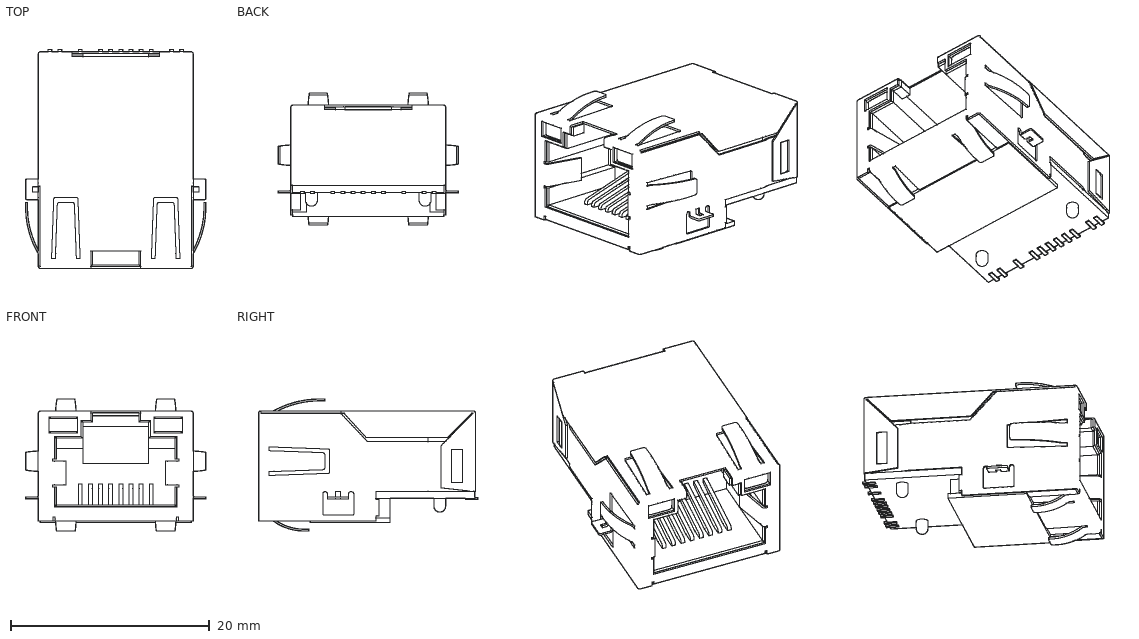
import cadquery as cq
import math


sheet = 0.2
half_width = 7.8
depth = 21.83
top_z = 8.9
bottom_z = -2.2
bend = 0.25
overlap = 0.3

inner_half = half_width - sheet
inner_top = top_z - sheet
inner_back = depth - sheet

lip = 0.18
cavity_half = 5.96
cavity_floor = -0.58
cavity_ceiling = 6.14
cavity_back = 9.4
key_half = 3.31
key_ceiling = 7.75
notch_half = 2.33
notch_depth = 1.8
lip_chamfer = 0.16

ground_tab_bottom = 1.44
ground_tab_top = 3.83
ground_relief = 0.2
ground_slot_half = 6.9
ground_tab_reach = 4.98
ground_tab_length = 3.9

led_x = 5.26
led_z = 7.46
led_width = 2.86
led_height = 1.6
led_recess = 0.3
led_length = 3.0

flap_bottom = 6.19
panel_top = 5.79
seam_z = 8.64
rear_floor = 0.8
rear_step = 11.79
joggle_start = 17.05
joggle_end = 18.1
tail_end = 20.9
latch_bottom = 1.68
latch_top = 5.03
latch_front = 19.43
latch_back = 20.5

flap_half = 6.1
flap_relief = 0.2
flap_relief_height = 0.44
flap_depth = 5.19
flap_bend = 0.3

spring_x = 5.02
spring_z = 3.83
spring_root = 1.49
spring_root_bend = 0.33
spring_root_half = 1.04
spring_taper = 0.036
spring_tip_flat = 0.5
slit_width = 0.38
slit_tip_gap = 0.48
slit_corner = 0.15
tongue_corner = 0.25
slit_start = 1.03

tab_half_span = 9.075
tab_front = 6.93
tab_back = 9.03
tab_bottom = 0.05
tab_bend = 0.13
tab_mid = (tab_front + tab_back) / 2
tab_slot_width = 0.5
tab_slot_end = 8.36
tab_slot_top = 0.78
window_front = 6.46
window_back = 9.59
window_bottom = -1.58
ear_top = 0.76

base_bottom = 0.1
base_back = 21.75
block_back = 13.23
block_bottom = -2.36
block_half = 6.2
flange_top = -1.88
recess_half = inner_half - sheet
channel_floor = 8.42
peg_diameter = 1.2
peg_x = 5.715
peg_y = 18.23
peg_tip = -1.3

pitch = 1.02
lead_width = 0.4
lead_slots = [-6.5, -5.5, -3.5, -1.5, -0.5, 0.5, 1.5, 2.5, 3.5, 5.5, 6.5]
lead_front = 20.8
lead_back = 22.07
lead_thickness = 0.18
contact_count = 8
contact_start = 3.2
contact_height = 0.44
contact_rise = 1.75
contact_tip_round = 0.38


def box(x0, x1, y0, y1, z0, z1):
    return cq.Workplane("XY").box(x1 - x0, y1 - y0, z1 - z0, centered=False).translate((x0, y0, z0))


def side_prism(points, x0, x1):
    """Extrude a (Y, Z) outline from X = x0 to X = x1."""
    return cq.Workplane("YZ").workplane(offset=x0).polyline(points).close().extrude(x1 - x0)


def both_sides(body):
    return body.union(body.mirror("YZ"))


def spring_half(y):
    return spring_root_half - spring_taper * (y - spring_root)


def tapered_plan(y0, y1, margin, z0, z1, corner):
    """Tapered block with rounded far corners, wider than the spring by the margin on either side."""
    front = spring_half(y0) + margin
    back = spring_half(y1) + margin
    outline = [(-front, y0), (front, y0), (back, y1), (-back, y1)]
    block = cq.Workplane("XY").workplane(offset=z0).polyline(outline).close().extrude(z1 - z0)
    return block.edges("|Z and >Y").fillet(corner)


def spring_tongue(reach, tip):
    """Curved tongue rising from a sheet whose outer face is Z = 0, flat at its tip."""
    flat = tip - spring_tip_flat
    run = flat - spring_root
    radius = (run ** 2 + reach ** 2) / (2 * reach)
    inner_radius = radius - sheet
    centre_z = reach - radius
    inner_run = math.sqrt(inner_radius ** 2 - (sheet + centre_z) ** 2)

    def on_arc(r, distance):
        return (flat - distance, centre_z + math.sqrt(r ** 2 - distance ** 2))

    root = slit_start - overlap
    profile = (
        cq.Workplane("YZ").workplane(offset=-spring_root_half * 2)
        .moveTo(root, 0).lineTo(spring_root, 0)
        .threePointArc(on_arc(radius, run / 2), (flat, reach))
        .lineTo(tip, reach).lineTo(tip, reach - sheet).lineTo(flat, reach - sheet)
        .threePointArc(on_arc(inner_radius, inner_run / 2), (flat - inner_run, -sheet))
        .lineTo(root, -sheet).close()
        .extrude(spring_root_half * 4)
    )
    crease = cq.NearestToPointSelector((0, spring_root, 0))
    profile = profile.edges(crease).fillet(spring_root_bend)
    return profile.intersect(tapered_plan(root, tip, 0, -2 * sheet, reach + sheet, tongue_corner))


def add_spring(shield, reach, tip, turn, place):
    """Cut the slit and add the tongue, turned about Y to face its side of the shield."""
    slit = tapered_plan(slit_start, tip + slit_tip_gap, slit_width, -sheet, overlap, slit_corner)
    tongue = spring_tongue(reach, tip)
    axis = ((0, 0, 0), (0, 1, 0))
    slit = slit.rotate(*axis, turn).translate(place)
    tongue = tongue.rotate(*axis, turn).translate(place)
    return shield.cut(slit).union(tongue)


def plug_outline(margin, y, top):
    """Stepped outline at depth Y: main cavity, latch keyway, notch up to the top."""
    wide = cavity_half + margin
    shoulder = key_half + margin
    narrow = notch_half + margin
    left = [
        (-wide, cavity_floor - margin), (-wide, cavity_ceiling + margin),
        (-shoulder, cavity_ceiling + margin), (-shoulder, key_ceiling + margin),
        (-narrow, key_ceiling + margin), (-narrow, top),
    ]
    right = [(-x, z) for x, z in reversed(left)]
    return cq.Workplane("XZ").workplane(offset=-y).polyline(left + right).close()


def shield_shell():
    shell = box(-half_width, half_width, 0, depth, bottom_z, top_z)
    shell = shell.edges("|Z").fillet(bend).faces(">Z").edges().fillet(bend)
    hollow = box(-inner_half, inner_half, sheet, inner_back, bottom_z, inner_top)
    below_rear = box(-half_width, half_width, rear_step, depth, bottom_z, rear_floor)
    return shell.cut(hollow).cut(below_rear)


def cut_front(shield):
    shield = shield.cut(plug_outline(lip, sheet, top_z).extrude(sheet))
    notch = notch_half + lip
    shield = shield.cut(box(-notch, notch, 0, notch_depth, cavity_ceiling, top_z))
    for side in (-1, 1):
        window = cq.Workplane("XY").box(led_width, sheet, led_height)
        shield = shield.cut(window.translate((side * led_x, sheet / 2, led_z)))
    return shield


def side_seams():
    """Open gap between the top flap, the rear flap and the front panel of one side."""
    flap_front = 10.85
    flap_rear = 18.99
    rear_flap_edge = 18.35
    rear_flap_heel = 21.2
    outline = [
        (8.6, seam_z), (flap_front, flap_bottom), (flap_rear, flap_bottom), (21.44, seam_z), (21.56, seam_z),
        (rear_flap_edge, 5.38), (rear_flap_edge, 1.15), (rear_flap_heel, 0.83), (rear_flap_heel, rear_floor),
        (joggle_start, rear_floor), (joggle_start, panel_top), (10.97, panel_top), (8.27, seam_z),
    ]
    front_seam = box(inner_half, half_width, bend, 8.3, seam_z, top_z)
    return side_prism(outline, inner_half, half_width).union(front_seam)


def s_curve(path, y0, y1, x0, x1):
    """Continue a path, drawn with the part's Y first and X second, along a smooth step."""
    middle = ((y0 + y1) / 2, (x0 + x1) / 2)
    quarter = (y1 - y0) / 4
    sag = (x0 - x1) / 8
    path = path.threePointArc((y0 + quarter, x0 - sag), middle)
    return path.threePointArc((y1 - quarter, x1 + sag), (y1, x1))


def joggled_tail():
    """End of the front panel, stepped inward by one sheet, with a latch for the rear flap."""
    height = panel_top - rear_floor
    start = joggle_start - overlap
    path = cq.Workplane("XY").moveTo(start, half_width).lineTo(joggle_start, half_width)
    path = s_curve(path, joggle_start, joggle_end, half_width, inner_half)
    tail = path.lineTo(tail_end, inner_half).lineTo(tail_end, recess_half).lineTo(start, recess_half).close()

    under = cq.Workplane("XY").moveTo(start, inner_half).lineTo(joggle_start, inner_half)
    under = s_curve(under, joggle_start, joggle_end, inner_half, recess_half)
    under = under.lineTo(start, recess_half).close()

    latch_crest = 19.95
    latch_face = half_width - 0.05
    latch = cq.Workplane("XY").moveTo(latch_front, recess_half).lineTo(latch_front, latch_face)
    latch = latch.lineTo(latch_crest, latch_face)
    latch = s_curve(latch, latch_crest, latch_back, latch_face, inner_half)
    latch = latch.lineTo(latch_back, recess_half).close().extrude(latch_top - latch_bottom)
    latch = latch.translate((0, 0, latch_bottom - rear_floor))

    tail = tail.extrude(height).cut(under.extrude(height)).union(latch)
    return tail.rotate((0, 0, 0), (0, 0, 1), 90).mirror("YZ").translate((0, 0, rear_floor))


def inward_tab():
    """Short curl at the rear edge of the deep part of the side panel."""
    curl = 0.35
    curl_bottom = -1.66
    curl_end = 6.8
    diagonal = math.sqrt(0.5)
    arc_x = half_width - curl
    return (
        cq.Workplane("XY").workplane(offset=curl_bottom)
        .moveTo(half_width, rear_step)
        .threePointArc((arc_x + curl * diagonal, rear_step + curl * diagonal), (arc_x, rear_step + curl))
        .lineTo(curl_end, rear_step + curl).lineTo(curl_end, rear_step + curl - sheet)
        .lineTo(arc_x, rear_step + curl - sheet)
        .threePointArc((arc_x + (curl - sheet) * diagonal, rear_step + (curl - sheet) * diagonal),
                       (inner_half, rear_step))
        .close().extrude(-curl_bottom)
    )


def board_tab_window():
    window_corner = 0.12
    window = box(inner_half, half_width, window_front, window_back, window_bottom, tab_bottom + sheet)
    window = window.edges("|X and <Z").fillet(window_corner)
    ear_roundness = 0.45
    for y0, y1 in ((window_front, tab_front), (tab_back, window_back)):
        ear = box(inner_half, half_width, y0, y1, 0, ear_top)
        window = window.union(ear.edges("|X and >Z").fillet((y1 - y0) * ear_roundness))
    return window


def board_tab():
    """Tab bent out of the side panel to lie on the circuit board."""
    tab_top = tab_bottom + sheet
    outer_bend = tab_bend + sheet
    diagonal = math.sqrt(0.5)
    centre_x = half_width + tab_bend
    centre_z = tab_top + tab_bend
    tab = (
        cq.Workplane("XZ").workplane(offset=-tab_back)
        .moveTo(half_width, centre_z)
        .threePointArc((centre_x - tab_bend * diagonal, centre_z - tab_bend * diagonal), (centre_x, tab_top))
        .lineTo(tab_half_span, tab_top).lineTo(tab_half_span, tab_bottom).lineTo(centre_x, tab_bottom)
        .threePointArc((centre_x - outer_bend * diagonal, centre_z - outer_bend * diagonal),
                       (inner_half, centre_z))
        .close().extrude(tab_back - tab_front)
    )
    tip_corner = 0.15
    return tab.edges("|Z and >X").fillet(tip_corner)


def board_tab_slot():
    half = tab_slot_width / 2
    return box(inner_half, tab_slot_end, tab_mid - half, tab_mid + half, 0, tab_slot_top)


def ground_tab_relief():
    edge = cavity_half + lip
    return box(edge - overlap, edge + ground_relief, 0, sheet,
               ground_tab_bottom - ground_relief, ground_tab_top + ground_relief)


def ground_tab():
    """Plate bent from the edge of the plug opening, running back and inward."""
    edge = cavity_half + lip
    bend_size = 0.27
    bend_middle = (edge - 0.7 * bend_size, 0.3 * bend_size)
    tip_skew = 0.05
    outer_end = edge + ground_relief + overlap
    return (
        cq.Workplane("XY").workplane(offset=ground_tab_bottom)
        .moveTo(outer_end, 0).lineTo(edge, 0)
        .threePointArc(bend_middle, (edge - bend_size, bend_size))
        .lineTo(ground_tab_reach, ground_tab_length)
        .lineTo(ground_tab_reach + sheet, ground_tab_length + tip_skew)
        .lineTo(edge, sheet).lineTo(outer_end, sheet)
        .close().extrude(ground_tab_top - ground_tab_bottom)
    )


def fold_bottom_flap(shield):
    relief = flap_half + flap_relief
    relief_top = bottom_z + flap_relief_height
    shield = shield.cut(box(-relief, relief, 0, sheet, bottom_z, relief_top))
    corner = box(-flap_half, flap_half, 0, flap_depth, bottom_z, relief_top)
    corner = corner.edges("|X and <Y and <Z").fillet(flap_bend)
    above = box(-flap_half, flap_half, sheet, flap_depth, bottom_z + sheet, relief_top)
    return shield.union(corner.cut(above))


def cut_back_notch(shield):
    half = 4.39
    length = 0.49
    return shield.cut(box(-half, half, depth - length, depth, channel_floor, top_z))


def make_shield():
    shield = cut_front(shield_shell())
    side_cuts = side_seams().union(board_tab_window()).union(ground_tab_relief())
    side_cuts = side_cuts.union(box(inner_half, half_width, latch_front, latch_back, latch_bottom, latch_top))
    shield = shield.cut(side_cuts).cut(side_cuts.mirror("YZ"))
    shield = fold_bottom_flap(cut_back_notch(shield))

    for side_part in (joggled_tail(), inward_tab(), board_tab(), ground_tab()):
        shield = shield.union(side_part).union(side_part.mirror("YZ"))
    shield = shield.cut(both_sides(board_tab_slot()))

    long_tip = 6.68
    bottom_tip = 5.07
    top_reach = 1.2
    bottom_reach = 1.0
    side_reach = tab_half_span - half_width
    for side in (-1, 1):
        shield = add_spring(shield, top_reach, long_tip, 0, (side * spring_x, 0, top_z))
        shield = add_spring(shield, bottom_reach, bottom_tip, 180, (side * spring_x, 0, bottom_z))
        shield = add_spring(shield, side_reach, long_tip, side * 90, (side * half_width, 0, spring_z))
    return shield


def housing_block():
    back_chamfer = 0.13
    outline = [
        (sheet, inner_top), (inner_back - back_chamfer, inner_top), (inner_back, inner_top - back_chamfer),
        (inner_back, rear_floor), (base_back, rear_floor),
        (base_back, base_bottom), (block_back, base_bottom), (block_back, block_bottom),
        (flap_depth, block_bottom), (flap_depth, bottom_z + sheet), (sheet, bottom_z + sheet),
    ]
    block = side_prism(outline, -inner_half, inner_half)
    flap_corner = box(-flap_half, flap_half, sheet, flap_depth, bottom_z, bottom_z + sheet)
    foot = box(-inner_half, inner_half, sheet, flap_depth, bottom_z, bottom_z + sheet).cut(flap_corner)
    block = block.union(foot)
    waist_lead = 0.8
    under_base = box(block_half, inner_half, rear_step - waist_lead, block_back, flange_top, base_bottom)
    tail_recess = box(recess_half, inner_half, joggle_start, inner_back, rear_floor, flap_bottom)
    return block.cut(both_sides(under_base.union(tail_recess)))


def plug_cavity():
    corner_ceiling = 5.1
    corner_back = 8.4
    latch_ceiling = 7.3
    latch_floor = 3.59
    latch_pocket_back = 10.4
    main = box(-cavity_half, cavity_half, sheet, cavity_back, cavity_floor, corner_ceiling)
    upper = box(-cavity_half, cavity_half, sheet, corner_back, cavity_floor, cavity_ceiling)
    pocket = box(-key_half, key_half, sheet, latch_pocket_back, latch_floor, latch_ceiling)
    key = box(-key_half, key_half, sheet, notch_depth, latch_floor, key_ceiling)
    notch = box(-notch_half, notch_half, sheet, notch_depth, latch_floor, inner_top)
    tunnel = box(-key_half, key_half, notch_depth, cavity_back, latch_floor, inner_top)
    channel = box(-key_half, key_half, notch_depth, inner_back, channel_floor, inner_top)
    slot = box(0, ground_slot_half, sheet, cavity_back,
               ground_tab_bottom - ground_relief, ground_tab_top + ground_relief)
    cavity = main.union(upper).union(pocket).union(key).union(notch).union(tunnel).union(channel)
    funnel = plug_outline(0, sheet + lip_chamfer, inner_top).extrude(lip_chamfer, taper=-45)
    return cavity.union(both_sides(slot)).union(funnel)


def led_body():
    """Light guide block with eased front edges, set back from the front face."""
    side_round = 0.5
    edge_chamfer = 0.15
    body = cq.Workplane("XY").box(led_width, led_length, led_height)
    body = body.edges("|Z and <Y").fillet(side_round)
    body = body.faces("<Y").edges("|X").chamfer(edge_chamfer)
    return body.translate((0, led_recess + led_length / 2, led_z))


def led_pocket():
    pocket_end = led_recess + led_length
    return box(-led_width / 2, led_width / 2, sheet, pocket_end,
               led_z - led_height / 2, led_z + led_height / 2)


def make_peg():
    radius = peg_diameter / 2
    shank = cq.Workplane("XY").workplane(offset=peg_tip + radius).circle(radius)
    shank = shank.extrude(base_bottom + overlap - peg_tip - radius)
    ball = cq.Workplane("XY").sphere(radius).translate((0, 0, peg_tip + radius))
    return shank.union(ball).translate((0, peg_y, 0))


def contact():
    """Sloping contact blade rising from the cavity floor to its back wall."""
    foot = cavity_floor
    end = cavity_back + overlap
    outline = [
        (contact_start, foot - overlap), (contact_start, foot + contact_height),
        (end, foot + contact_height + contact_rise), (end, foot + contact_rise),
        (contact_start + overlap, foot - overlap),
    ]
    blade = side_prism(outline, -lead_width / 2, lead_width / 2)
    tip_edge = cq.NearestToPointSelector((0, contact_start, foot + contact_height))
    return blade.edges(tip_edge).fillet(contact_tip_round)


def make_housing():
    housing = housing_block().cut(plug_cavity())
    for side in (-1, 1):
        housing = housing.cut(led_pocket().translate((side * led_x, 0, 0)))
        housing = housing.union(make_peg().translate((side * peg_x, 0, 0)))
    for slot in lead_slots:
        x = slot * pitch
        lead = box(x - lead_width / 2, x + lead_width / 2, lead_front, lead_back, 0, lead_thickness)
        housing = housing.union(lead)
    for index in range(contact_count):
        x = (index - (contact_count - 1) / 2) * pitch
        housing = housing.union(contact().translate((x, 0, 0)))
    return housing


shield = make_shield()
housing = make_housing()
leds = [led_body().translate((side * led_x, 0, 0)) for side in (-1, 1)]

result = cq.Compound.makeCompound([
    shield.solids().val(),
    housing.solids().val(),
    *[led.solids().val() for led in leds],
])